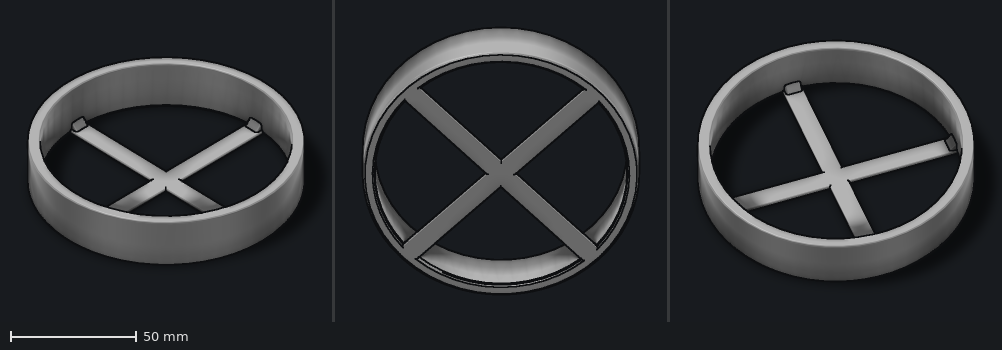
import cadquery as cq

OUTER_DIAMETER = 110.5
INNER_DIAMETER = 100.5
RING_HEIGHT = 22.0
RIM_FILLET = 1.0
BASE_CHAMFER = 1.0

BAR_WIDTH = 8.5
BAR_THICKNESS = 2.0
BAR_FILLET = 0.75

GUSSET_WIDTH = BAR_WIDTH - 2 * BAR_FILLET
GUSSET_LENGTH = 3.0
GUSSET_FILLET = 1.0
GUSSET_COUNT = 4
GUSSET_SPACING = 360.0 / GUSSET_COUNT

OUTER_RADIUS = OUTER_DIAMETER / 2
INNER_RADIUS = INNER_DIAMETER / 2
WALL_MIDDLE_RADIUS = (OUTER_RADIUS + INNER_RADIUS) / 2


def make_ring():
    """Round band, chamfered at the base, with every edge on its two walls rounded."""
    inner_wall_edges = cq.selectors.RadiusNthSelector(0)
    outer_wall_edges = cq.selectors.RadiusNthSelector(-1)
    band = cq.Workplane("XY").circle(OUTER_RADIUS).circle(INNER_RADIUS).extrude(RING_HEIGHT)
    band = band.faces("<Z").edges().chamfer(BASE_CHAMFER)
    return band.edges(inner_wall_edges + outer_wall_edges).fillet(RIM_FILLET)


def make_cross():
    """Two crossing bars with rounded upper and lower edges, ending inside the ring wall."""
    length = 2 * WALL_MIDDLE_RADIUS
    bar_x = cq.Workplane("XY").rect(length, BAR_WIDTH).extrude(BAR_THICKNESS)
    bar_y = cq.Workplane("XY").rect(BAR_WIDTH, length).extrude(BAR_THICKNESS)
    cross = bar_x.union(bar_y)
    return cross.faces("<Z or >Z").edges().fillet(BAR_FILLET)


def make_gusset():
    """Wedge at the +X bar end, its sloped face rounded along both sides."""
    toe = INNER_RADIUS - GUSSET_LENGTH - BAR_THICKNESS
    heel = WALL_MIDDLE_RADIUS
    top = heel - toe
    wedge = (
        cq.Workplane("XZ")
        .polyline([(toe, 0), (heel, 0), (heel, top)])
        .close()
        .extrude(GUSSET_WIDTH / 2, both=True)
    )
    slope_sides = wedge.edges("#Y and (not |X) and (not |Z)")
    return slope_sides.fillet(GUSSET_FILLET)


result = make_ring().union(make_cross())
gusset = make_gusset()
for index in range(GUSSET_COUNT):
    angle = index * GUSSET_SPACING
    result = result.union(gusset.rotate((0, 0, 0), (0, 0, 1), angle))